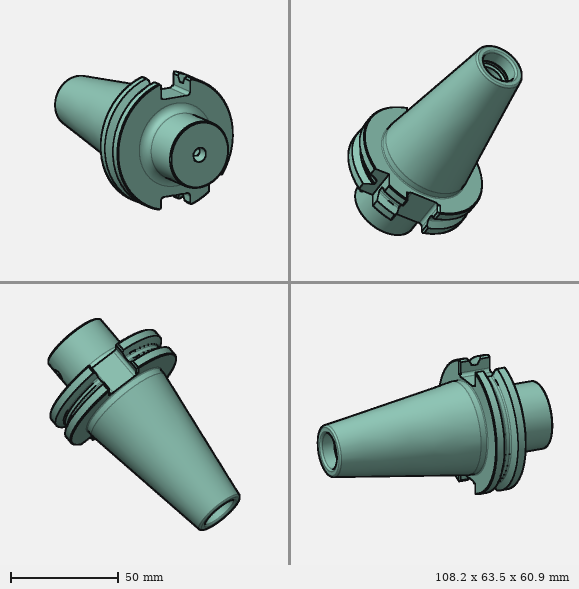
import cadquery as cq
import math

total_length = 108.2
gauge_x = 68.1
flange_front_x = 71.4
flange_back_x = 87.0
flange_width = flange_back_x - flange_front_x
groove_centre_x = 79.2

taper_per_length = 7 / 24
gauge_radius = 22.2
tip_radius = gauge_radius - gauge_x * taper_per_length / 2
tip_fillet = 1.0
shank_root_fillet = 0.4

flange_diameter = 63.5
flange_radius = flange_diameter / 2
flange_chamfer = 0.4
groove_floor_radius = 28.0
groove_mouth_width = 7.0
groove_wall_angle = math.radians(30)
groove_depth = flange_radius - groove_floor_radius
groove_floor_width = groove_mouth_width - 2 * groove_depth * math.tan(groove_wall_angle)
groove_fillet = 0.9

slot_width = 15.9
slot_fillet = 1.6
slot_chamfer = 1.0
slot_front_chamfer = 0.8
upper_slot_floor = 22.7
lower_slot_floor = 24.6
notch_offset = 18.4

nose_radius = 16.0
nose_root_fillet = 4.0
nose_chamfer = 0.5
screw_hole_x = 100.1
screw_hole_diameter = 5.4

counterbore_radius = 8.5
counterbore_depth = 7.0
seat_radius = 8.3
seat_length = 1.3
thread_radius = 6.9
thread_depth = 31.4
through_diameter = 6.8
through_radius = through_diameter / 2
cone_half_angle = math.radians(59)


def turned_body():
    mouth_half = groove_mouth_width / 2
    floor_half = groove_floor_width / 2
    tangent_length = groove_fillet * math.tan(groove_wall_angle)
    flat_half = floor_half - tangent_length
    wall_half = floor_half + tangent_length * math.sin(groove_wall_angle)
    wall_radius = groove_floor_radius + tangent_length * math.cos(groove_wall_angle)
    profile = (
        cq.Workplane("XY")
        .moveTo(0, 0)
        .lineTo(0, tip_radius)
        .lineTo(gauge_x, gauge_radius)
        .lineTo(flange_front_x - shank_root_fillet, gauge_radius)
        .radiusArc((flange_front_x, gauge_radius + shank_root_fillet), -shank_root_fillet)
        .lineTo(flange_front_x, flange_radius - flange_chamfer)
        .lineTo(flange_front_x + flange_chamfer, flange_radius)
        .lineTo(groove_centre_x - mouth_half, flange_radius)
        .lineTo(groove_centre_x - wall_half, wall_radius)
        .radiusArc((groove_centre_x - flat_half, groove_floor_radius), -groove_fillet)
        .lineTo(groove_centre_x + flat_half, groove_floor_radius)
        .radiusArc((groove_centre_x + wall_half, wall_radius), -groove_fillet)
        .lineTo(groove_centre_x + mouth_half, flange_radius)
        .lineTo(flange_back_x - flange_chamfer, flange_radius)
        .lineTo(flange_back_x, flange_radius - flange_chamfer)
        .lineTo(flange_back_x, nose_radius + nose_root_fillet)
        .radiusArc((flange_back_x + nose_root_fillet, nose_radius), -nose_root_fillet)
        .lineTo(total_length - nose_chamfer, nose_radius)
        .lineTo(total_length, nose_radius - nose_chamfer)
        .lineTo(total_length, 0)
        .close()
    )
    return profile.revolve(360, (0, 0, 0), (1, 0, 0))


def bore():
    seat_x = counterbore_depth + counterbore_radius - seat_radius
    seat_end_x = seat_x + seat_length
    thread_start_x = seat_end_x + (seat_radius - thread_radius) / math.tan(cone_half_angle)
    drill_tip_x = thread_depth + (thread_radius - through_radius) / math.tan(cone_half_angle)
    return (
        cq.Workplane("XY")
        .moveTo(0, 0)
        .lineTo(0, counterbore_radius)
        .lineTo(counterbore_depth, counterbore_radius)
        .lineTo(seat_x, seat_radius)
        .lineTo(seat_end_x, seat_radius)
        .lineTo(thread_start_x, thread_radius)
        .lineTo(thread_depth, thread_radius)
        .lineTo(drill_tip_x, through_radius)
        .lineTo(total_length, through_radius)
        .lineTo(total_length, 0)
        .close()
        .revolve(360, (0, 0, 0), (1, 0, 0))
    )


def drive_slot(floor_z):
    """Slot along X, open upward, with rounded floor corners and chamfered mouth and front edges."""
    half = slot_width / 2
    wide_half = half + slot_chamfer
    mouth_z = math.sqrt(flange_radius**2 - wide_half**2)

    channel = (
        cq.Workplane("YZ", origin=(flange_front_x, 0, 0))
        .moveTo(-half, flange_radius)
        .lineTo(-half, floor_z + slot_fillet)
        .radiusArc((slot_fillet - half, floor_z), -slot_fillet)
        .lineTo(half - slot_fillet, floor_z)
        .radiusArc((half, floor_z + slot_fillet), -slot_fillet)
        .lineTo(half, flange_radius)
        .close()
        .extrude(flange_width)
    )
    mouth_flare = (
        cq.Workplane("YZ", origin=(flange_front_x, 0, 0))
        .polyline([
            (-half, mouth_z - slot_chamfer),
            (half, mouth_z - slot_chamfer),
            (wide_half, mouth_z),
            (wide_half, flange_radius),
            (-wide_half, flange_radius),
            (-wide_half, mouth_z),
        ])
        .close()
        .extrude(flange_width)
    )
    front_flare = (
        cq.Workplane("XY", origin=(0, 0, floor_z + slot_fillet / 2))
        .polyline([
            (flange_front_x, -wide_half),
            (flange_front_x + slot_front_chamfer, -half),
            (flange_front_x + slot_front_chamfer, half),
            (flange_front_x, wide_half),
        ])
        .close()
        .extrude(flange_radius - floor_z)
    )
    return channel.union(mouth_flare).union(front_flare)


def orientation_notch():
    return (
        cq.Workplane("XY")
        .box(flange_width, flange_radius, flange_radius, centered=False)
        .translate((flange_front_x, notch_offset, -notch_offset - flange_radius))
    )


def screw_hole():
    return (
        cq.Workplane("XZ", origin=(screw_hole_x, 0, 0))
        .circle(screw_hole_diameter / 2)
        .extrude(-total_length)
    )


body = turned_body().cut(bore())
body = body.faces("<X").edges().fillet(tip_fillet)

body = body.cut(drive_slot(upper_slot_floor))
body = body.cut(drive_slot(lower_slot_floor).rotate((0, 0, 0), (1, 0, 0), 180))
body = body.cut(orientation_notch())
result = body.cut(screw_hole())